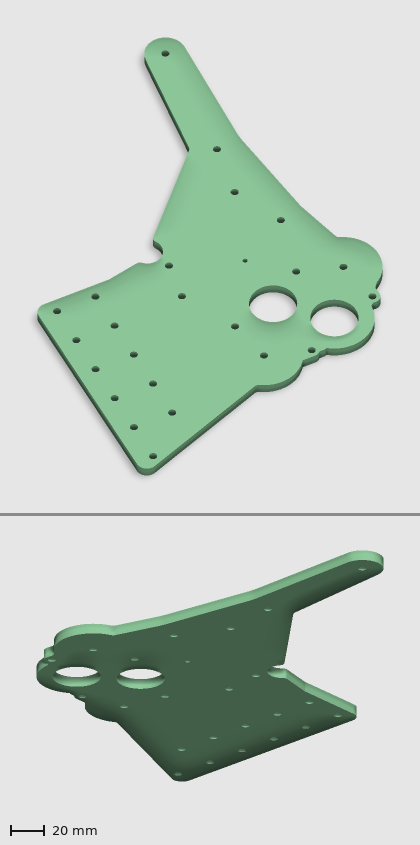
import cadquery as cq

thickness = 6.3
length = 300.5

screw_diameter = 4.8
pilot_diameter = 3.0
bore_diameter = 28.8
grid_pitch = 25.5
grid_x = 165.0
grid_y = 11.5
grid_columns = 6

arm_radius = 12.5
arm_y = 160.0
arm_tip = (arm_radius, arm_y)
top_lobe = (210.3, 179.5)
bearing_lobe = (244.0, 156.8)
side_lobe = (251.5, 106.0)
upper_lug = (238.8, 184.7)
side_lug = (260.5, 133.5)
lobe_radius = 23.5
bearing_lobe_radius = 24.0
lug_radius = 4.8

upper_bore = bearing_lobe
lower_bore = (217.5, 129.2)
pilot_hole = (179.5, 129.5)

relief_center = (147.2, 80.5)
relief_radius = 9.3

foot_left = 156.5
foot_corner_radius = 6.5
bottom_right_overhang = 2.8
bottom_right = (length + bottom_right_overhang, 0)

root_fillet = 3.0
valley_fillet = 3.0
lip_fillet = 3.0
arm_fillet = 36.0
elbow_fillet = 4.5

arm_bottom = (11.0, 147.5)
arm_top_bend = (91.0, 170.0)
shoulder_bend = (156.2, 178.5)
elbow = (86.2, 139.5)
lobe_root = (187.7, 186.8)
shoulder_end = (193.7, 188.3)
upper_valley_start = (228.3, 193.5)
upper_valley = (233.5, 189.2)
lug_root = (241.5, 180.8)
side_valley_start = (263.5, 141.2)
side_valley_end = (263.5, 136.7)
side_lug_edge = side_lug[0] + lug_radius
flank_root = (270.0, 92.0)
flank_top = (267.3, 99.5)
arm_lip = (140.5, 87.0)
foot_lip = (152.0, 72.5)
foot_top = (150.5, 81.0)
foot_bend = (foot_left, 50.5)


def disc(center, radius):
    return cq.Workplane("XY").center(*center).circle(radius).extrude(thickness)


def round_corner(body, point, radius):
    """Round the vertical edge closest to a point of the outline."""
    nearest = cq.selectors.NearestToPointSelector((*point, thickness / 2))
    return body.edges("|Z").edges(nearest).fillet(radius)


def make_web():
    """Straight-sided body that joins the arm, lobes and foot."""
    outline = [
        (arm_tip[0], arm_y + arm_radius),
        arm_top_bend,
        shoulder_bend,
        shoulder_end,
        top_lobe,
        upper_valley_start,
        upper_valley,
        (upper_lug[0], upper_lug[1] + lug_radius),
        upper_lug,
        bearing_lobe,
        side_valley_start,
        side_valley_end,
        side_lug,
        (side_lug_edge, side_lug[1]),
        (side_lug_edge, side_lobe[1]),
        side_lobe,
        flank_top,
        bottom_right,
        (foot_left, 0),
        foot_bend,
        foot_top,
        relief_center,
        elbow,
        arm_bottom,
    ]
    web = cq.Workplane("XY").polyline(outline).close().extrude(thickness)
    for corner in (bottom_right, (foot_left, 0)):
        web = round_corner(web, corner, foot_corner_radius)
    for corner in (arm_top_bend, shoulder_bend):
        web = round_corner(web, corner, arm_fillet)
    web = round_corner(web, upper_valley, valley_fillet)
    return round_corner(web, elbow, elbow_fillet)


def make_plate():
    plate = make_web().union(disc(arm_tip, arm_radius))
    for lobe in (top_lobe, side_lobe):
        plate = plate.union(disc(lobe, lobe_radius))
    plate = plate.union(disc(bearing_lobe, bearing_lobe_radius))
    for lug in (upper_lug, side_lug):
        plate = plate.union(disc(lug, lug_radius))
    for root in (lug_root, lobe_root, flank_root):
        plate = round_corner(plate, root, root_fillet)
    plate = plate.cut(disc(relief_center, relief_radius))
    for lip in (arm_lip, foot_lip):
        plate = round_corner(plate, lip, lip_fillet)
    return plate


def drill(body, points, diameter):
    return body.cut(cq.Workplane("XY").pushPoints(points).circle(diameter / 2).extrude(thickness))


grid_holes = [
    (grid_x + column * grid_pitch, grid_y + row * grid_pitch)
    for row in range(2)
    for column in range(grid_columns - row)
]
web_holes = [
    (93.7, 153.8),
    (128.5, 148.0),
    (160.7, 162.8),
    (201.0, 153.0),
    (223.2, 101.0),
    (162.8, 87.0),
    (187.7, 83.2),
]
pivot_holes = [arm_tip, top_lobe, side_lobe, upper_lug, side_lug]

result = make_plate()
result = drill(result, grid_holes + web_holes + pivot_holes, screw_diameter)
result = drill(result, [pilot_hole], pilot_diameter)
result = drill(result, [upper_bore, lower_bore], bore_diameter)